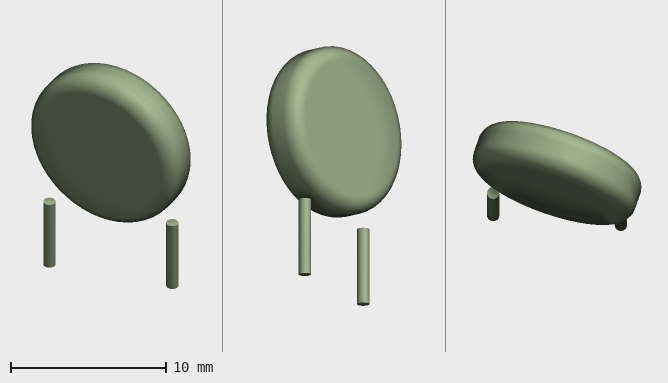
import cadquery as cq

overall_height = 16.0
disc_diameter = 11.0
disc_thickness = 3.0
rim_radius = disc_thickness / 3
lead_diameter = 0.8
lead_spacing_x = 8.0
lead_spacing_y = 2.0

lead_length = overall_height - disc_diameter
lead_top = -disc_diameter / 2


def make_disc():
    """Upright round disc, centred on the origin with its axis along Y and both rims rounded."""
    return (
        cq.Workplane("XZ", origin=(0, disc_thickness / 2, 0))
        .circle(disc_diameter / 2)
        .extrude(disc_thickness)
        .edges("%CIRCLE")
        .fillet(rim_radius)
    )


def make_lead(x, y):
    """Round vertical lead hanging down from the level of the disc's lowest point."""
    return (
        cq.Workplane("XY", origin=(x, y, lead_top))
        .circle(lead_diameter / 2)
        .extrude(-lead_length)
    )


disc = make_disc()

leads = [
    make_lead(side * lead_spacing_x / 2, side * lead_spacing_y / 2)
    for side in (-1, 1)
]

result = cq.Compound.makeCompound([disc.val(), *[lead.val() for lead in leads]])